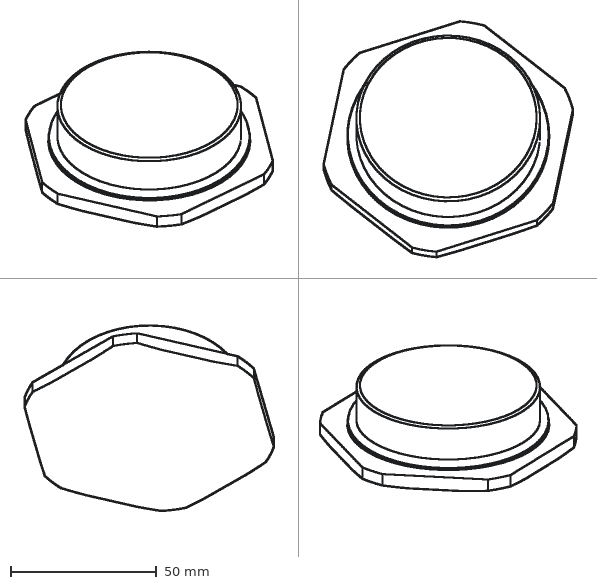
import cadquery as cq

across_flats = 80.0
corner_diameter = 88.0
flange_height = 5.0
base_diameter = 82.15
base_taper_height = 0.6

total_height = 20.0
plug_diameter = 63.0
plug_top_diameter = 60.6
plug_chamfer_height = 0.6

seat_height = 0.1
seat_top_diameter = 69.0
seat_base_diameter = 69.3

ring_outer_diameter = 68.8
ring_section = (ring_outer_diameter - plug_diameter) / 2
ring_center_radius = (ring_outer_diameter + plug_diameter) / 4
ring_center_height = flange_height + seat_height + ring_section / 2


def make_flange():
    """Hexagon with corners on +Y and -Y, rounded by a turned envelope with a tapered base."""
    hexagon = (
        cq.Workplane("XY")
        .polygon(6, across_flats, circumscribed=True)
        .extrude(flange_height)
    )
    corner_radius = corner_diameter / 2
    envelope = (
        cq.Workplane("XZ")
        .polyline([
            (0, 0),
            (base_diameter / 2, 0),
            (corner_radius, base_taper_height),
            (corner_radius, flange_height),
            (0, flange_height),
        ])
        .close()
        .revolve(360, (0, 0, 0), (0, 1, 0))
    )
    return hexagon.intersect(envelope)


def make_plug():
    """Cylinder rising from the flange, with a chamfered top edge."""
    top_inset = (plug_diameter - plug_top_diameter) / 2
    return (
        cq.Workplane("XY", origin=(0, 0, flange_height))
        .circle(plug_diameter / 2)
        .extrude(total_height - flange_height)
        .faces(">Z")
        .edges()
        .chamfer(plug_chamfer_height, top_inset)
    )


def make_ring_seat():
    """Shallow cone frustum on the top face of the flange."""
    return cq.Workplane(
        cq.Solid.makeCone(
            seat_base_diameter / 2,
            seat_top_diameter / 2,
            seat_height,
            cq.Vector(0, 0, flange_height),
        )
    )


def make_cap():
    """Flange, ring seat and plug as one body."""
    return make_flange().union(make_ring_seat()).union(make_plug())


def make_sealing_ring():
    """Round-section ring that fits around the plug and rests on its seat."""
    return (
        cq.Workplane("XZ")
        .center(ring_center_radius, ring_center_height)
        .circle(ring_section / 2)
        .revolve(360, (-ring_center_radius, 0, 0), (-ring_center_radius, 1, 0))
    )


cap = make_cap()
sealing_ring = make_sealing_ring()

result = cq.Compound.makeCompound([cap.val(), sealing_ring.val()])